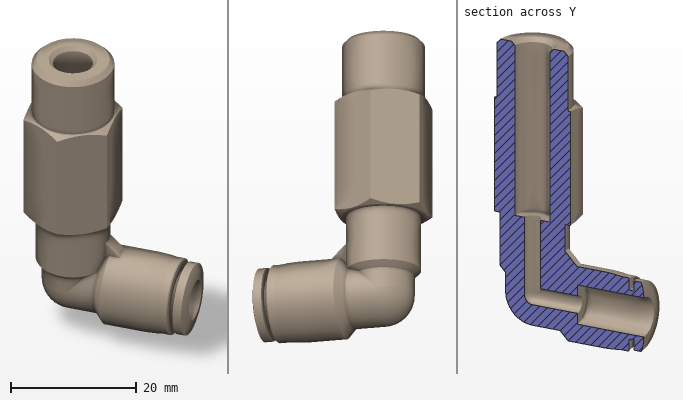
import cadquery as cq
import math

total_height = 49
thread_diameter = 13.2
thread_length = 10.0
thread_chamfer = 0.8
hex_across_flats = 14.0
hex_bottom = 19.6
hex_chamfer_diameter = 13.8
hex_chamfer_angle = 30
neck_diameter = 12.0
neck_bottom = 10.65
elbow_diameter = 10.0

socket_diameter = 13.0
socket_cone_start = 5.05
socket_taper_start = 13.4
socket_rim_start = 16.25
socket_end = 17.75
socket_rim_diameter = 12.5
socket_rim_chamfer = 0.15
release_collar_diameter = 8.55
release_collar_end = 18.2
release_groove_diameter = 8.35
release_ring_start = 18.6
release_ring_diameter = 11.8
release_ring_end = 20.5
ring_crown_height = 0.5
ring_flat_diameter = 6.95

web_width = 2.6
web_top = 15.15

stem_bore_diameter = 6.35
stem_bore_chamfer = 0.7
stem_bore_bottom = 19.6
passage_diameter = 2.9
port_diameter = 6.55
port_start = 8.35

axis_height = socket_diameter / 2
elbow_radius = elbow_diameter / 2
hex_top = total_height - thread_length


def z_cylinder(diameter, bottom, top):
    return cq.Workplane("XY", origin=(0, 0, bottom)).circle(diameter / 2).extrude(top - bottom)


def x_cylinder(diameter, start, end):
    plane = cq.Workplane("YZ", origin=(start, 0, axis_height))
    return plane.circle(diameter / 2).extrude(end - start)


def ball(diameter):
    return cq.Workplane("XY", origin=(0, 0, axis_height)).sphere(diameter / 2)


def hexagon():
    """Hexagon with corners on +Y and -Y, both ends chamfered conically."""
    corner_diameter = hex_across_flats / math.cos(math.pi / 6)
    corner_radius = corner_diameter / 2
    face_radius = hex_chamfer_diameter / 2
    drop = (corner_radius - face_radius) * math.tan(math.radians(hex_chamfer_angle))
    prism = (
        cq.Workplane("XY", origin=(0, 0, hex_bottom))
        .polygon(6, corner_diameter)
        .extrude(hex_top - hex_bottom)
        .rotate((0, 0, 0), (0, 0, 1), 30)
    )
    envelope = (
        cq.Workplane("XZ")
        .moveTo(0, hex_bottom)
        .lineTo(face_radius, hex_bottom)
        .lineTo(corner_radius, hex_bottom + drop)
        .lineTo(corner_radius, hex_top - drop)
        .lineTo(face_radius, hex_top)
        .lineTo(0, hex_top)
        .close()
        .revolve(360, (0, 0, 0), (0, 1, 0))
    )
    return prism.intersect(envelope)


def stem():
    thread = z_cylinder(thread_diameter, hex_top, total_height).faces(">Z").chamfer(thread_chamfer)
    neck_chamfer = (neck_diameter - elbow_diameter) / 2
    neck = z_cylinder(neck_diameter, neck_bottom - neck_chamfer, hex_bottom)
    neck = neck.faces("<Z").chamfer(neck_chamfer)
    elbow = z_cylinder(elbow_diameter, axis_height, neck_bottom).union(ball(elbow_diameter))
    return hexagon().union(thread).union(neck).union(elbow)


def socket():
    """Elbow outlet, tapered socket and release ring as one turned profile."""
    socket_radius = socket_diameter / 2
    cone_end = socket_cone_start + socket_radius - elbow_radius
    rim_radius = socket_rim_diameter / 2
    collar_radius = release_collar_diameter / 2
    groove_radius = release_groove_diameter / 2
    ring_flat_radius = ring_flat_diameter / 2
    ring_radius = release_ring_diameter / 2
    crown_middle = (release_ring_end - ring_crown_height / 4, (ring_radius + ring_flat_radius) / 2)
    return (
        cq.Workplane("XZ", origin=(0, 0, axis_height))
        .lineTo(0, elbow_radius)
        .lineTo(socket_cone_start, elbow_radius)
        .lineTo(cone_end, socket_radius)
        .lineTo(socket_taper_start, socket_radius)
        .tangentArcPoint((socket_rim_start, rim_radius), relative=False)
        .lineTo(socket_end - socket_rim_chamfer, rim_radius)
        .lineTo(socket_end, rim_radius - socket_rim_chamfer)
        .lineTo(socket_end, collar_radius)
        .lineTo(release_collar_end, collar_radius)
        .lineTo(release_collar_end, groove_radius)
        .lineTo(release_ring_start, groove_radius)
        .lineTo(release_ring_start, ring_radius)
        .lineTo(release_ring_end - ring_crown_height, ring_radius)
        .threePointArc(crown_middle, (release_ring_end, ring_flat_radius))
        .lineTo(release_ring_end, 0)
        .close()
        .revolve(360, (0, 0, 0), (1, 0, 0))
    )


def web():
    neck_radius = neck_diameter / 2
    return (
        cq.Workplane("XZ")
        .moveTo(0, axis_height)
        .lineTo(0, web_top)
        .lineTo(neck_radius, web_top)
        .lineTo(neck_radius + web_top - axis_height, axis_height)
        .close()
        .extrude(web_width / 2, both=True)
    )


def passages():
    mouth_radius = stem_bore_diameter / 2 + stem_bore_chamfer
    mouth = (
        cq.Workplane("XY", origin=(0, 0, total_height))
        .circle(mouth_radius)
        .workplane(offset=-stem_bore_chamfer)
        .circle(stem_bore_diameter / 2)
        .loft()
    )
    stem_bore = z_cylinder(stem_bore_diameter, stem_bore_bottom, total_height)
    down = z_cylinder(passage_diameter, axis_height, stem_bore_bottom)
    across = x_cylinder(passage_diameter, 0, port_start)
    port = x_cylinder(port_diameter, port_start, release_ring_end)
    return stem_bore.union(mouth).union(down).union(ball(passage_diameter)).union(across).union(port)


result = stem().union(socket()).union(web()).cut(passages())